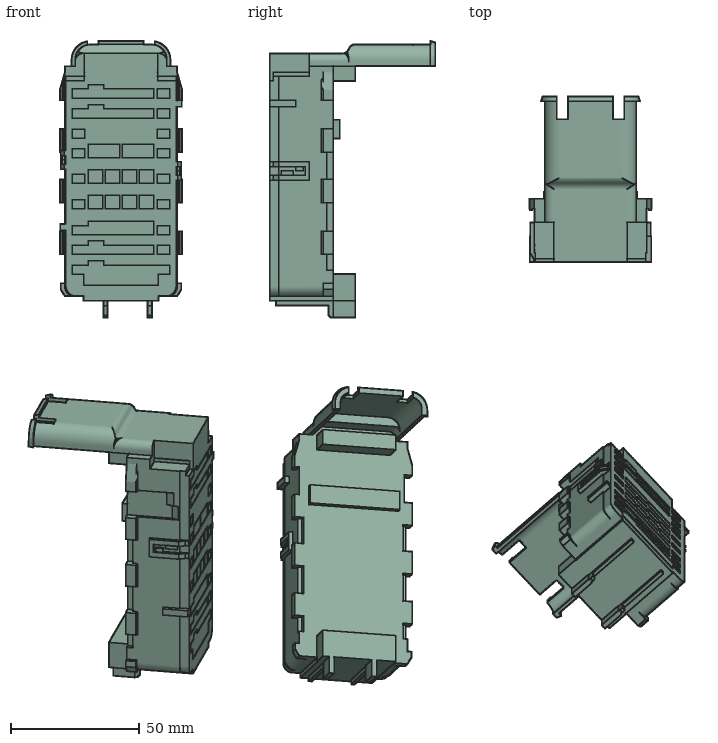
import cadquery as cq


overall_height = 107.8

half_width = 21.9
housing_depth = 24.8
housing_bottom = 8.4
housing_top = 98.0
corner_radius = 3.8
relief = 0.4
recess_depth = 1.3
recess_step = 79.1
recess_upper_slope = (6.1, 9.2)
recess_lower_slope = (4.3, 6.9)
clip_strip_depth = 1.7
clip_strip_front = 22.3
clip_strip_bottom = 18.4
front_band_depth = 3.7
front_band_top = 92.2

shoulder_depth = 15.5
shoulder_floor = 94.0
front_ledge_depth = 1.4
top_block_half_width = 14.2
top_block_top = 103.0
groove_depth = 0.3
groove_top = 95.5

hood_half_width = 17.9
hood_bottom = housing_top
hood_end = 62.6
hood_wall = 1.4
rear_hood_top = 106.4
front_hood_radius = 3.2
rear_hood_radius = 6.1
hood_step_start = 28.5
hood_step_middle = 30.8
hood_step_end = 32.8
hood_step_bend = 0.5
hood_step_bend_reach = 0.9
flange_end = 64.6
flange_outset = overall_height - rear_hood_top
flange_end_outset = 0.8
hood_slot_inner = 8.8
hood_slot_outer = 13.0
hood_slot_start = 55.7

clip_half_width = 23.8
clip_front = 20.8
clip_lip_front = 20.2
clip_lip_inner = 22.8
clip_lip_outer = 23.5
clip_lip_flare = 0.2
clip_height = 9.1
clip_bottoms = [24.7, 44.9, 64.5]
top_clip_bottom = 84.6
top_clip_straight_top = 88.7
top_clip_top = 95.5
foot_clip_half_width = 23.5
foot_clip_top = 13.5
foot_clip_corner = 11.0

turn_height = 59.3
rail_half_width = 23.5
rail_nose_half_width = 22.1
rail_nose_length = 1.4
rail_length = shoulder_depth
rail_bottom = 57.8
rail_top = 65.1
rail_slot_bottom = 59.8
rail_slot_top = 63.1
rail_slot_length = 13.8
rail_slot_middle = (rail_slot_bottom + rail_slot_top) / 2
catch_half_width = 22.9
upper_catch_start = 4.5
upper_catch_end = 9.2
lower_catch_end = 13.0
side_root = 21.0
rib_half_width = 23.7
rib_length = 10.1
rib_bottom = 34.0
rib_top = 36.6

rear_block_half_width = 14.8
rear_block_end = 33.4
top_rear_block_bottom = 92.1
foot_block_top = 17.0
foot_block_bottom = 6.6
middle_block_half_width = 18.1
middle_block_end = 27.4
middle_block_bottom = 69.8
middle_block_top = 77.1
bottom_plate_half_width = 14.6
foot_centres = [-6.0, 11.2]
foot_width = 1.9
foot_web_width = 1.4
foot_web_front = 22.9
foot_web_chamfer = 1.0
keel_front = 2.5
keel_bottom = 4.7

outline_depth = 0.1
cell_outer = 19.0
cell_inner = 14.1
cell_height = 3.6
bay_half_width = 12.8
tab_height = 1.7
key_end = -6.7
bay_gap = 1.0
right_cell_rows = [24.7, 32.3, 77.7, 85.5]
paired_cell_rows = [42.4, 52.4, 62.3, 69.9]
bay_rows = [(42.4, 4), (52.4, 4), (62.3, 2)]
keyed_bar_rows = [24.7, 77.7, 85.5]
full_tab_bar_row = 32.3
lowest_bar_row = 16.9
lowest_bar_foot = 12.7


def box(x0, x1, y0, y1, z0, z1):
    """Block between two opposite corners."""
    return cq.Workplane("XY").box(x1 - x0, y1 - y0, z1 - z0, centered=False).translate((x0, y0, z0))


def centred_box(half, y0, y1, z0, z1):
    return box(-half, half, y0, y1, z0, z1)


def mirrored(shape):
    """The shape together with its mirror image across X = 0."""
    return shape.union(shape.mirror("YZ"))


def plan_prism(points, z0, z1):
    """Prism with an outline in X and Y."""
    return cq.Workplane("XY").workplane(offset=z0).polyline(points).close().extrude(z1 - z0)


def front_prism(points, y0, y1):
    """Prism with an outline in X and Z."""
    return cq.Workplane("XZ", origin=(0, y0, 0)).polyline(points).close().extrude(y0 - y1)


def side_prism(points, x0, x1):
    """Prism with an outline in Y and Z."""
    return cq.Workplane("YZ", origin=(x0, 0, 0)).polyline(points).close().extrude(x1 - x0)


def rounded_foot_bar(half, y0, y1, top):
    """Bar along Y standing on the housing bottom with both lower edges rounded."""
    bar = centred_box(half, y0, y1, housing_bottom, top)
    return bar.edges("|Y and <Z").fillet(corner_radius)


def make_housing():
    body = rounded_foot_bar(half_width, front_band_depth, housing_depth, housing_top)
    body = body.union(rounded_foot_bar(half_width - relief, 0, front_band_depth, shoulder_floor))
    body = body.union(centred_box(top_block_half_width, 0, shoulder_depth, shoulder_floor, top_block_top))
    shoulder = box(-half_width, -top_block_half_width, 0, shoulder_depth, shoulder_floor, top_block_top)
    ledge = box(-half_width, -top_block_half_width, 0, front_ledge_depth, front_band_top, shoulder_floor)
    groove = box(-top_block_half_width, groove_depth - top_block_half_width,
                 front_ledge_depth, shoulder_depth, shoulder_floor, groove_top)
    strip = box(-half_width, clip_strip_depth - half_width, clip_strip_front, housing_depth,
                clip_strip_bottom, clip_bottoms[-1])
    body = body.cut(mirrored(shoulder.union(ledge).union(groove).union(strip)))
    return body.cut(make_side_recess())


def make_side_recess():
    """Shallow stepped recess in the -X wall, each front end sloping out to the wall."""
    outside = -half_width
    floor = recess_depth - half_width
    bottom = clip_bottoms[-1] + clip_height
    recess = cq.Workplane("XY")
    for (slope_end, slope_start), z0, z1 in (
        (recess_upper_slope, recess_step, top_clip_bottom),
        (recess_lower_slope, bottom, recess_step),
    ):
        outline = [
            (outside, slope_end),
            (floor, slope_start),
            (floor, housing_depth),
            (outside, housing_depth),
        ]
        recess = recess.add(plan_prism(outline, z0, z1))
    return recess.combine()


def arch(half, bottom, top, radius, y0, y1):
    """Bar along Y with both upper edges rounded."""
    return centred_box(half, y0, y1, bottom, top).edges("|Y and >Z").fillet(radius)


def make_hood():
    front = arch(hood_half_width, hood_bottom, top_block_top, front_hood_radius,
                 shoulder_depth, hood_step_middle)
    rear = arch(hood_half_width, hood_bottom, rear_hood_top, rear_hood_radius,
                hood_step_start, hood_end)
    middle_top = (top_block_top + rear_hood_top) / 2
    lower_bend = (hood_step_middle - hood_step_bend_reach, top_block_top + hood_step_bend)
    upper_bend = (hood_step_middle + hood_step_bend_reach, rear_hood_top - hood_step_bend)
    step = (
        cq.Workplane("YZ", origin=(-hood_half_width, 0, 0))
        .moveTo(hood_step_start, hood_bottom)
        .lineTo(hood_step_start, top_block_top)
        .threePointArc(lower_bend, (hood_step_middle, middle_top))
        .threePointArc(upper_bend, (hood_step_end, rear_hood_top))
        .lineTo(hood_end, rear_hood_top)
        .lineTo(hood_end, hood_bottom)
        .close()
        .extrude(2 * hood_half_width)
    )
    corner = [
        (top_block_half_width, hood_step_start),
        (hood_half_width, hood_step_start),
        (hood_half_width, hood_step_middle),
    ]
    rear = rear.intersect(step).cut(mirrored(plan_prism(corner, hood_bottom, rear_hood_top)))
    hood = front.union(rear).union(make_flange())
    inside = hood_half_width - hood_wall
    hood = hood.cut(arch(inside, hood_bottom, top_block_top - hood_wall, front_hood_radius - hood_wall,
                         housing_depth, hood_step_end))
    hood = hood.cut(arch(inside, hood_bottom, rear_hood_top - hood_wall, rear_hood_radius - hood_wall,
                         hood_step_end, flange_end))
    slot = box(hood_slot_inner, hood_slot_outer, hood_slot_start, flange_end, hood_bottom, overall_height)
    return hood.cut(mirrored(slot))


def make_flange():
    """Outward lip around the open end of the hood, narrowing towards the end."""
    def outline(plane, outset):
        half = hood_half_width + outset
        radius = rear_hood_radius + outset
        top = rear_hood_top + outset
        bend = radius * (1 - 0.5 ** 0.5)
        return (
            plane.moveTo(-half, hood_bottom)
            .lineTo(-half, top - radius)
            .threePointArc((bend - half, top - bend), (radius - half, top))
            .lineTo(half - radius, top)
            .threePointArc((half - bend, top - bend), (half, top - radius))
            .lineTo(half, hood_bottom)
            .close()
        )

    base = outline(cq.Workplane("XZ", origin=(0, hood_end, 0)), flange_outset)
    end = base.workplane(offset=hood_end - flange_end)
    return outline(end, flange_end_outset).loft(ruled=True)


def clip_prism(z0, z1):
    """Clip on the +X side with a small forward lip along its outer edge."""
    root = half_width - clip_strip_depth
    outline = [
        (root, housing_depth),
        (root, clip_front),
        (clip_lip_inner - clip_lip_flare, clip_front),
        (clip_lip_inner, clip_lip_front),
        (clip_lip_outer, clip_lip_front),
        (clip_half_width, clip_front),
        (clip_half_width, housing_depth),
    ]
    return plan_prism(outline, z0, z1)


def make_clips():
    top_wedge = front_prism(
        [
            (half_width - relief, top_clip_bottom),
            (clip_half_width, top_clip_bottom),
            (clip_half_width, top_clip_straight_top),
            (half_width, top_clip_top),
            (half_width - relief, top_clip_top),
        ],
        clip_lip_front,
        housing_depth,
    )
    clips = clip_prism(top_clip_bottom, top_clip_top).intersect(top_wedge)
    for bottom in clip_bottoms:
        clips = clips.union(clip_prism(bottom, bottom + clip_height))
    foot_clip = front_prism(
        [
            (half_width - corner_radius, housing_bottom),
            (half_width, housing_bottom),
            (foot_clip_half_width, foot_clip_corner),
            (foot_clip_half_width, foot_clip_top),
            (half_width - corner_radius, foot_clip_top),
        ],
        clip_front,
        housing_depth,
    )
    return mirrored(clips.union(foot_clip))


def make_rails():
    """Slotted guide rail and locating rib on the -X wall, repeated half a turn round on the +X wall."""
    root = -side_root
    rail_outline = [
        (root, 0),
        (-rail_nose_half_width, 0),
        (-rail_nose_half_width, rail_nose_length),
        (-rail_half_width, front_band_depth),
        (-rail_half_width, rail_length),
        (root, rail_length),
    ]
    rail = plan_prism(rail_outline, rail_bottom, rail_top)
    rail = rail.cut(box(-rail_half_width, root, 0, rail_slot_length, rail_slot_bottom, rail_slot_top))
    upper_catch = box(-catch_half_width, root, upper_catch_start, upper_catch_end,
                      rail_slot_middle, rail_slot_top)
    lower_catch = box(-catch_half_width, root, rib_length, lower_catch_end,
                      rail_slot_bottom, rail_slot_middle)
    rib = box(-rib_half_width, root, 0, rib_length, rib_bottom, rib_top)
    side = rail.union(upper_catch).union(lower_catch).union(rib)
    return side.union(side.rotate((0, 0, turn_height), (0, 1, turn_height), 180))


def make_rear_blocks():
    top = centred_box(rear_block_half_width, housing_depth, rear_block_end,
                      top_rear_block_bottom, hood_bottom)
    middle = centred_box(middle_block_half_width, housing_depth, middle_block_end,
                         middle_block_bottom, middle_block_top)
    bottom = centred_box(rear_block_half_width, housing_depth, rear_block_end,
                         foot_block_bottom, foot_block_top)
    plate = centred_box(bottom_plate_half_width, 0, housing_depth, foot_block_bottom, housing_bottom)
    return top.union(middle).union(bottom).union(plate)


def make_foot(centre):
    """Rear leg with a thinner web in front of it that runs forward as a low keel."""
    leg = box(centre - foot_width / 2, centre + foot_width / 2,
              housing_depth, rear_block_end, 0, foot_block_bottom)
    web_outline = [
        (keel_front, foot_block_bottom),
        (keel_front, keel_bottom),
        (foot_web_front, keel_bottom),
        (foot_web_front, foot_web_chamfer),
        (foot_web_front + foot_web_chamfer, 0),
        (housing_depth, 0),
        (housing_depth, foot_block_bottom),
    ]
    return leg.union(side_prism(web_outline, centre - foot_web_width / 2, centre + foot_web_width / 2))


def face_box(x0, x1, z0, z1):
    return box(x0, x1, 0, outline_depth, z0, z1)


def make_bar(z, bar_end, tab_end):
    bar = face_box(-cell_outer, bar_end, z, z + cell_height)
    return bar.union(face_box(-bay_half_width, tab_end, z, z + cell_height + tab_height))


def make_face_outlines():
    """Shallow pockets in the front face that mark the plug-in modules."""
    pockets = []
    for z in right_cell_rows:
        pockets.append(face_box(cell_inner, cell_outer, z, z + cell_height))
    for z in paired_cell_rows:
        pockets.append(mirrored(face_box(cell_inner, cell_outer, z, z + cell_height)))
    for z in keyed_bar_rows:
        pockets.append(make_bar(z, bay_half_width, key_end))
    pockets.append(make_bar(full_tab_bar_row, bay_half_width, bay_half_width))
    foot = face_box(-bottom_plate_half_width, bottom_plate_half_width, lowest_bar_foot, lowest_bar_row)
    pockets.append(make_bar(lowest_bar_row, cell_outer, key_end).union(foot))
    for z, count in bay_rows:
        pitch = (2 * bay_half_width + bay_gap) / count
        for index in range(count):
            start = index * pitch - bay_half_width
            pockets.append(face_box(start, start + pitch - bay_gap, z, z + cell_height + tab_height))
    return pockets


result = make_housing().union(make_hood()).union(make_clips()).union(make_rails()).union(make_rear_blocks())
for foot_centre in foot_centres:
    result = result.union(make_foot(foot_centre))
for pocket in make_face_outlines():
    result = result.cut(pocket)